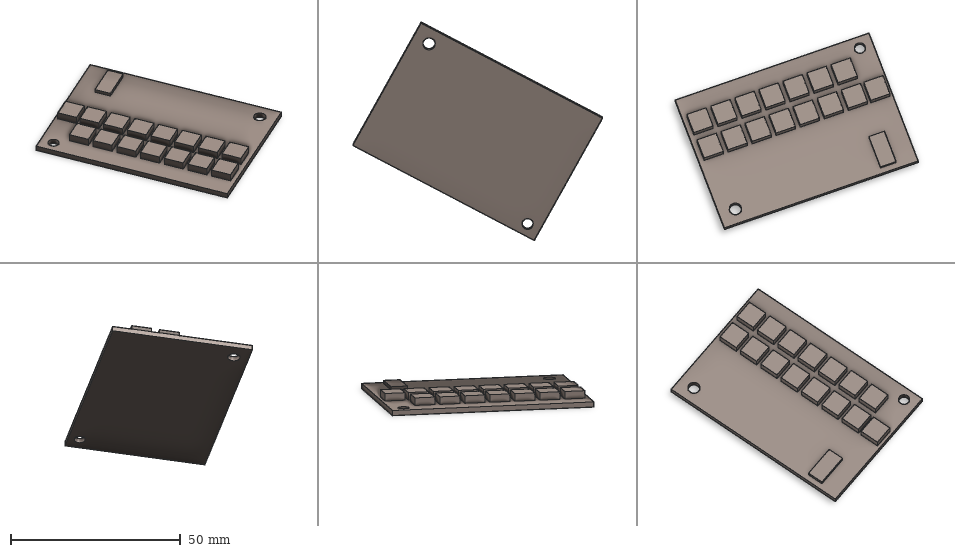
import cadquery as cq

board_length = 60.8
board_width = 42.3
total_height = 3.8
board_thickness = 1.6

block_side = 6.0
block_height = total_height - board_thickness
block_pitch = 7.55
blocks_per_row = 7
upper_row_start_x = 11.0
upper_row_y = 17.6
lower_row_start_x = 11.1
lower_row_y = 9.1
extra_block_x = 3.95

chip_length_x = 4.9
chip_length_y = 10.05
chip_height = 1.0
chip_center = (8.75, 35.55)

large_hole_diameter = 3.6
large_hole_center = (55.75, 37.9)
small_hole_diameter = 3.2
small_hole_center = (4.15, 3.45)


def row_centers(start_x, y):
    """Return the block centers of one evenly spaced row."""
    return [(start_x + i * block_pitch, y) for i in range(blocks_per_row)]


def component(centers, length_x, length_y, height):
    """Return rectangular components standing on the board's top face."""
    return (
        cq.Workplane("XY", origin=(0, 0, board_thickness))
        .pushPoints(centers)
        .rect(length_x, length_y)
        .extrude(height)
    )


def mounting_hole(center, diameter):
    """Return the cylinder that cuts one hole through the board."""
    return cq.Workplane("XY").center(*center).circle(diameter / 2).extrude(board_thickness)


board = cq.Workplane("XY").box(board_length, board_width, board_thickness, centered=False)
board = board.cut(mounting_hole(large_hole_center, large_hole_diameter))
board = board.cut(mounting_hole(small_hole_center, small_hole_diameter))

block_centers = [(extra_block_x, upper_row_y)]
block_centers += row_centers(upper_row_start_x, upper_row_y)
block_centers += row_centers(lower_row_start_x, lower_row_y)

blocks = component(block_centers, block_side, block_side, block_height)
chip = component([chip_center], chip_length_x, chip_length_y, chip_height)
result = board.union(blocks).union(chip)